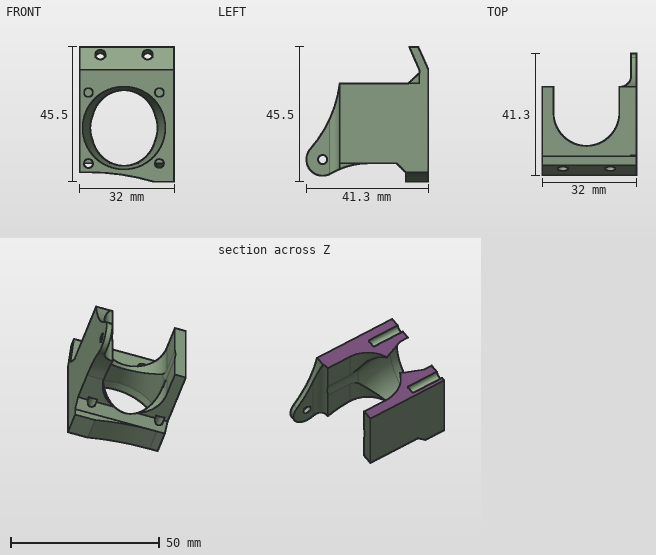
import cadquery as cq
import math

width = 32.0
height = 45.55
body_depth = 30.05
body_bottom = 6.2
body_top = 33.2
plate_thickness = 3.05
plate_bottom = 3.2
front_block_depth = 7.75
chamfer_size = body_bottom - plate_bottom

bend_height = 37.9
flange_lean = 3.4
flange_top_thickness = 3.1
inner_bend_height = 37.65
flange_hole_diameter = 3.5
flange_hole_x = (7.0, 23.0)
flange_hole_z = 42.95
flange_angle = math.atan2(flange_lean, height - bend_height)

bore_x = 15.0
bore_z = 18.2
bore_diameter = 28.0
bore_straight_depth = plate_thickness
bore_taper_end = 17.75
bore_end_diameter = 22.65
channel_radius = 11.07
channel_start = 10.03
channel_y = channel_start + channel_radius
screw_hole_diameter = 3.0
screw_hole_depth = 11.85
screw_spacing = 23.95

foot_left = 25.0
foot_curve_start = 3.0

lug_thickness = 1.95
lug_left = width - lug_thickness
lug_y = 35.75
lug_z = 7.5
lug_radius = 5.5
lug_hole_diameter = 3.0
lug_root_fillet = 3.5
lug_upper_radius = 41.0
lug_lower_start = 20.4
gusset_height = 3.6
gusset_length = 3.85
arm_left = bore_x + channel_radius

overshoot = 4.55


def side_profile(start_x=0.0):
    """YZ sketch plane at the given X; extrusions run toward +X."""
    return cq.Workplane("YZ", origin=(start_x, 0, 0))


def make_body():
    return (
        side_profile()
        .moveTo(0, plate_bottom)
        .lineTo(front_block_depth, plate_bottom)
        .lineTo(front_block_depth + chamfer_size, body_bottom)
        .lineTo(body_depth, body_bottom)
        .lineTo(body_depth, body_top)
        .lineTo(plate_thickness, body_top)
        .lineTo(plate_thickness, inner_bend_height)
        .lineTo(flange_lean + flange_top_thickness, height)
        .lineTo(flange_lean, height)
        .lineTo(0, bend_height)
        .close()
        .extrude(width)
    )


def make_foot():
    run = foot_left - foot_curve_start
    radius = (run**2 + plate_bottom**2) / (2 * plate_bottom)
    middle_x = foot_curve_start + run / 2
    middle_z = plate_bottom - radius + math.sqrt(radius**2 - (run / 2) ** 2)
    return (
        cq.Workplane("XZ")
        .moveTo(foot_curve_start, plate_bottom)
        .threePointArc((middle_x, middle_z), (foot_left, 0))
        .lineTo(width, 0)
        .lineTo(width, body_bottom)
        .lineTo(foot_curve_start, body_bottom)
        .close()
        .extrude(-front_block_depth)
    )


def make_gusset():
    return (
        side_profile(lug_left)
        .polyline([
            (plate_thickness, body_top),
            (plate_thickness + gusset_length, body_top),
            (plate_thickness, body_top + gusset_height),
        ])
        .close()
        .extrude(lug_thickness)
    )


def point_toward(start, end, distance):
    length = math.dist(start, end)
    return tuple(a + (b - a) * distance / length for a, b in zip(start, end))


def make_lug():
    """Rounded lug joined to the body by two tangent concave arcs."""
    eye = (lug_y, lug_z)
    top = (body_depth, body_top)

    span = math.dist(top, eye)
    reach = lug_upper_radius + lug_radius
    along = (span**2 + lug_upper_radius**2 - reach**2) / (2 * span)
    across = math.sqrt(lug_upper_radius**2 - along**2)
    dy = (eye[0] - top[0]) / span
    dz = (eye[1] - top[1]) / span
    upper_center = (top[0] + along * dy - across * dz, top[1] + along * dz + across * dy)
    upper_tangent = point_toward(eye, upper_center, lug_radius)
    upper_chord_middle = ((top[0] + upper_tangent[0]) / 2, (top[1] + upper_tangent[1]) / 2)
    upper_middle = point_toward(upper_center, upper_chord_middle, lug_upper_radius)

    run = lug_y - lug_lower_start
    rise = lug_z - body_bottom
    lower_radius = (run**2 + rise**2 - lug_radius**2) / (2 * (lug_radius - rise))
    lower_start = (lug_lower_start, body_bottom)
    lower_center = (lug_lower_start, body_bottom - lower_radius)
    lower_tangent = point_toward(eye, lower_center, lug_radius)
    lower_chord_middle = (
        (lower_start[0] + lower_tangent[0]) / 2,
        (lower_start[1] + lower_tangent[1]) / 2,
    )
    lower_middle = point_toward(lower_center, lower_chord_middle, lower_radius)

    lug = (
        side_profile(arm_left)
        .moveTo(*top)
        .threePointArc(upper_middle, upper_tangent)
        .threePointArc((lug_y + lug_radius, lug_z), lower_tangent)
        .threePointArc(lower_middle, lower_start)
        .lineTo(lug_lower_start, body_top)
        .close()
        .extrude(width - arm_left)
    )
    fillet_start = lug_left - lug_root_fillet
    fillet_side = lug_root_fillet * math.sqrt(0.5)
    outline = (
        cq.Workplane("XY")
        .moveTo(arm_left, lug_lower_start)
        .lineTo(arm_left, body_depth)
        .lineTo(fillet_start, body_depth)
        .threePointArc(
            (fillet_start + fillet_side, body_depth + lug_root_fillet - fillet_side),
            (lug_left, body_depth + lug_root_fillet),
        )
        .lineTo(lug_left, lug_y + lug_radius)
        .lineTo(width, lug_y + lug_radius)
        .lineTo(width, lug_lower_start)
        .close()
        .extrude(height)
    )
    hole = (
        side_profile(lug_left - overshoot)
        .center(*eye)
        .circle(lug_hole_diameter / 2)
        .extrude(lug_thickness + 2 * overshoot)
    )
    return lug.intersect(outline).cut(hole)


def make_channel():
    """Upright U-shaped channel, open toward +Y."""
    length = body_depth - channel_y + overshoot
    round_end = cq.Workplane("XY").center(bore_x, channel_y).circle(channel_radius).extrude(height)
    straight = (
        cq.Workplane("XY")
        .center(bore_x, channel_y + length / 2)
        .rect(2 * channel_radius, length)
        .extrude(height)
    )
    return round_end.union(straight)


def make_bore():
    """Short straight bore followed by a taper and a straight rear bore that grooves the arms."""
    front_radius = bore_diameter / 2
    end_radius = bore_end_diameter / 2
    return (
        cq.Workplane("XY")
        .polyline([
            (0, 0),
            (front_radius, 0),
            (front_radius, bore_straight_depth),
            (end_radius, bore_taper_end),
            (end_radius, body_depth),
            (0, body_depth),
        ])
        .close()
        .revolve(360, (0, 0), (0, 1))
        .translate((bore_x, 0, bore_z))
    )


def make_screw_holes():
    return (
        cq.Workplane("XZ", origin=(bore_x, 0, bore_z))
        .rect(screw_spacing, screw_spacing, forConstruction=True)
        .vertices()
        .circle(screw_hole_diameter / 2)
        .extrude(-screw_hole_depth)
    )


def make_flange_holes():
    """Holes square to the tilted flange."""
    center_y = (flange_hole_z - bend_height) * math.tan(flange_angle)
    direction = cq.Vector(0, math.cos(flange_angle), -math.sin(flange_angle))
    holes = cq.Workplane("XY")
    for x in flange_hole_x:
        start = cq.Vector(x, center_y, flange_hole_z) - direction * overshoot
        holes.add(cq.Solid.makeCylinder(flange_hole_diameter / 2, 2 * overshoot, start, direction))
    return holes.combine()


result = (
    make_body()
    .union(make_foot())
    .union(make_gusset())
    .union(make_lug())
    .cut(make_channel())
    .cut(make_bore())
    .cut(make_screw_holes())
    .cut(make_flange_holes())
)